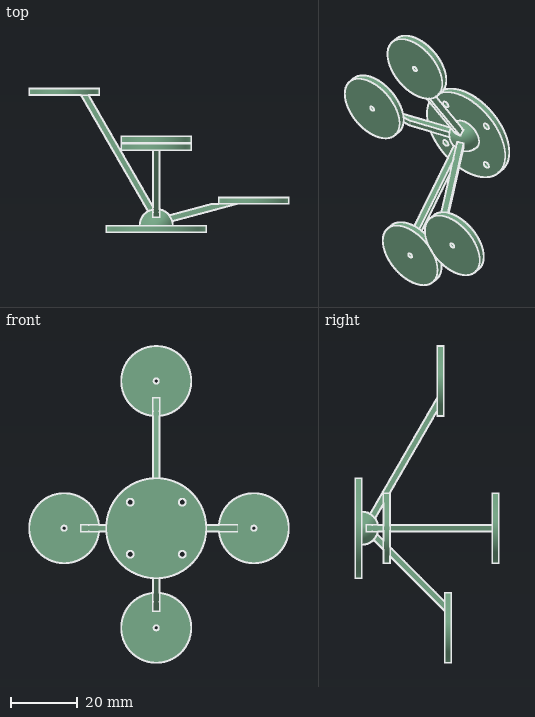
import cadquery as cq
import math

plate_diameter = 30.0
plate_thickness = 2.0
mount_hole_diameter = 2.0
mount_circle_radius = 11.0
mount_hole_count = 4
mount_first_angle = 45.0

hub_radius = 5.0

arm_width = 2.0
pad_diameter = 21.0
pad_thickness = 2.0
pad_hole_diameter = 1.5
pad_center_offset = 5.0

arms = [
    (0.0, 15.0, 25.0),
    (90.0, 30.0, 45.0),
    (180.0, 60.0, 45.0),
    (270.0, 45.0, 35.0),
]


def disc(diameter, thickness, x, y):
    """Disc with its axis along Y, spanning y to y + thickness, centred at x."""
    plane = cq.Workplane("XZ", origin=(x, y, 0))
    return plane.circle(diameter / 2).extrude(-thickness)


def make_plate():
    plate = disc(plate_diameter, plate_thickness, 0, -plate_thickness)
    holes = (
        cq.Workplane("XZ", origin=(0, -plate_thickness, 0))
        .polarArray(mount_circle_radius, mount_first_angle, 360, mount_hole_count)
        .circle(mount_hole_diameter / 2)
        .extrude(-plate_thickness)
    )
    return plate.cut(holes)


def make_hub():
    """Quarter disc revolved about Y into a half ball."""
    arc_middle = hub_radius * math.sqrt(0.5)
    return (
        cq.Workplane("XY")
        .lineTo(hub_radius, 0)
        .threePointArc((arc_middle, arc_middle), (0, hub_radius))
        .close()
        .revolve(360, (0, 0, 0), (0, 1, 0))
    )


def make_arm(direction, tilt, length):
    """Arm and pad laid out along +X, then turned to their direction around Y."""
    tilt_radians = math.radians(tilt)
    end_x = length * math.cos(tilt_radians)
    end_y = length * math.sin(tilt_radians)

    root_x = -arm_width * math.sin(tilt_radians)
    root_y = arm_width * math.cos(tilt_radians)
    inner_end_x = end_x - arm_width / math.sin(tilt_radians)
    bar = (
        cq.Workplane("XY")
        .polyline([(0, 0), (end_x, end_y), (inner_end_x, end_y), (root_x, root_y)])
        .close()
        .extrude(arm_width / 2, both=True)
    )

    pad_x = end_x + pad_center_offset
    pad = disc(pad_diameter, pad_thickness, pad_x, end_y)
    pad_hole = disc(pad_hole_diameter, pad_thickness, pad_x, end_y)
    arm = bar.union(pad.cut(pad_hole))
    return arm.rotate((0, 0, 0), (0, 1, 0), -direction)


result = make_plate().union(make_hub())
for arm_direction, arm_tilt, arm_length in arms:
    result = result.union(make_arm(arm_direction, arm_tilt, arm_length))